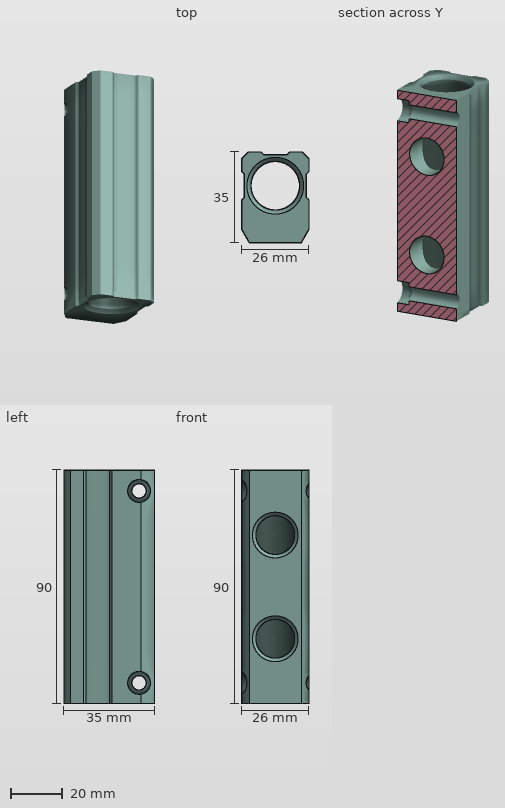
import cadquery as cq

width = 26.0
depth = 35.0
height = 90.0
half_width = width / 2
rear_chamfer = 2.5
front_chamfer_x = 3.0
front_chamfer_y = 5.2

groove_mouth = 11.0
groove_depth = 1.0

main_diameter = 18.6
main_mouth_diameter = 21.9
main_y = depth - half_width

port_diameter = 14.9
port_mouth_diameter = 17.6
port_end_offset = 25.0

mount_diameter = 5.5
counterbore_diameter = 8.8
counterbore_depth = 5.0
mount_y = 6.0
mount_end_offset = 8.0


def mouth_cone(mouth_diameter, bore_diameter, position, direction):
    """45 degree countersink from the mouth diameter down to the bore diameter."""
    mouth_radius = mouth_diameter / 2
    bore_radius = bore_diameter / 2
    cone = cq.Solid.makeCone(
        mouth_radius, bore_radius, mouth_radius - bore_radius, cq.Vector(*position), cq.Vector(*direction)
    )
    return cq.Workplane(cone)


def drill(diameter, length, position, direction):
    """Straight cylinder starting at a position and running along a direction."""
    return cq.Workplane(
        obj=cq.Solid.makeCylinder(diameter / 2, length, cq.Vector(*position), cq.Vector(*direction))
    )


def block():
    outline = [
        (-half_width + front_chamfer_x, 0),
        (half_width - front_chamfer_x, 0),
        (half_width, front_chamfer_y),
        (half_width, depth - rear_chamfer),
        (half_width - rear_chamfer, depth),
        (-half_width + rear_chamfer, depth),
        (-half_width, depth - rear_chamfer),
        (-half_width, front_chamfer_y),
    ]
    return cq.Workplane("XY").polyline(outline).close().extrude(height)


def rear_groove():
    half_mouth = groove_mouth / 2
    half_floor = half_mouth - groove_depth
    section = [
        (-half_mouth, depth),
        (-half_floor, depth - groove_depth),
        (half_floor, depth - groove_depth),
        (half_mouth, depth),
    ]
    return cq.Workplane("XY").polyline(section).close().extrude(height)


result = block()

for angle in (-90, 0, 90):
    result = result.cut(rear_groove().rotate((0, main_y, 0), (0, main_y, 1), angle))

result = result.cut(drill(main_diameter, height, (0, main_y, 0), (0, 0, 1)))
for end_z, inward in ((0, 1), (height, -1)):
    result = result.cut(mouth_cone(main_mouth_diameter, main_diameter, (0, main_y, end_z), (0, 0, inward)))

for port_z in (port_end_offset, height - port_end_offset):
    result = result.cut(drill(port_diameter, main_y, (0, 0, port_z), (0, 1, 0)))
    result = result.cut(mouth_cone(port_mouth_diameter, port_diameter, (0, 0, port_z), (0, 1, 0)))

for mount_z in (mount_end_offset, height - mount_end_offset):
    mount_start = (-half_width, mount_y, mount_z)
    result = result.cut(drill(mount_diameter, width, mount_start, (1, 0, 0)))
    result = result.cut(drill(counterbore_diameter, counterbore_depth, mount_start, (1, 0, 0)))